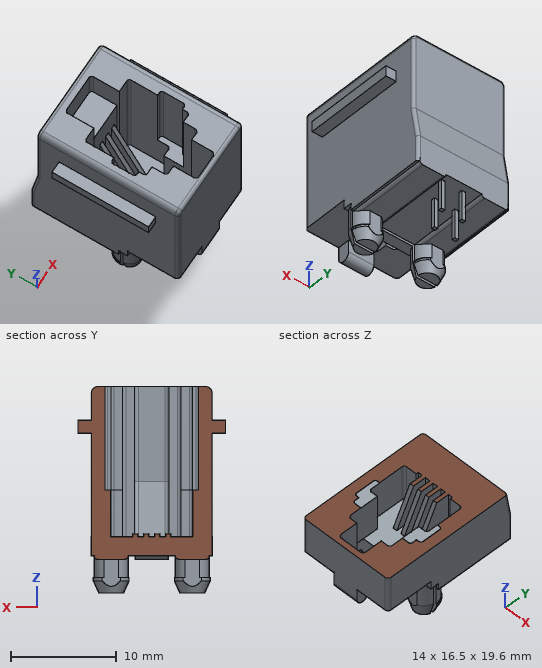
import cadquery as cq

height = 19.56
width = 11.45
depth = 16.5
upper_depth = 15.85
front_bottom = 5.35
step_bottom = 4.32
rear_bottom = 3.55
front_step = 5.71
rear_step = 6.7
bend_low = 6.6
bend_high = 10.4
front_round = 0.41
back_round = 0.35
top_side_round = 0.63
tolerance = 0.02

wing_span = 13.97
wing_front, wing_back = 2.55, 13.34
wing_bottom, wing_top = 15.12, 16.37

foot_width = 3.13
foot_depth = 1.47
underside = 3.19

post_x = 3.83
post_y = 6.63
post_radius = 1.62
barb_radius = 1.7
tip_radius = 1.17
post_front, post_back = 5.12, 8.1
front_cone_height = 1.68
barb_cone_height = 1.17
barb_top = 1.47
slot_front, slot_back = 6.35, 6.65
rail_round = rear_bottom - underside

corner_round = 0.3
neck_round = 0.35
cavity_floor = front_bottom
ledge_level = 9.78
shelf_level = 16.23
shelf_half_width = 2.27
shelf_front, shelf_back = 11.91, 14.85
plug_half_width = 3.87
plug_front, plug_back = 4.81, 11.64
ledge_back = 6.98
ear_half_width = 4.45
ear_front, ear_back = 5.61, 8.37
neck_half_width = 2.78
neck_front = 3.15
latch_half_width = 1.62
latch_front = 0.53
ramp_front = 1.8
ramp_top = 10.56

contact_width = 0.49
contact_pitch = 1.04
contact_front = 8.12
contact_top = 12.9
pin_width = 0.43
pin_thickness = 0.4
pin_pitch = 1.27
pin_rows = (12.97, 15.5)
pin_count = 4


def box(x0, x1, y0, y1, z0, z1):
    return cq.Workplane("XY").box(x1 - x0, y1 - y0, z1 - z0, centered=False).translate((x0, y0, z0))


def centred_box(half_width, y0, y1, z0, z1):
    return box(-half_width, half_width, y0, y1, z0, z1)


def side_profile(points, total_width):
    """Extrude a (Y, Z) outline symmetrically about X = 0."""
    return cq.Workplane("YZ").polyline(points).close().extrude(total_width / 2, both=True)


def spread(count, pitch):
    return [(i - (count - 1) / 2) * pitch for i in range(count)]


def housing():
    outline = [
        (0, front_bottom),
        (front_step, front_bottom),
        (front_step, step_bottom),
        (rear_step, step_bottom),
        (rear_step, rear_bottom),
        (depth, rear_bottom),
        (depth, bend_low),
        (upper_depth, bend_high),
        (upper_depth, height),
        (0, height),
    ]
    body = side_profile(outline, width)
    body = body.faces(">Z").edges("|Y").fillet(top_side_round)
    body = body.faces("<Y").edges("not <Z").fillet(front_round)
    back_corner = cq.selectors.BoxSelector(
        (-width, upper_depth - tolerance, rear_bottom + tolerance),
        (width, depth + tolerance, height + tolerance),
    )
    bends = cq.selectors.BoxSelector(
        (-tolerance, 0, 0),
        (tolerance, depth + tolerance, height - tolerance),
    )
    return body.edges(back_corner - bends).fillet(back_round)


def foot():
    radius = foot_depth / 2
    return (
        cq.Workplane("YZ")
        .moveTo(0, front_bottom)
        .lineTo(0, underside + radius)
        .threePointArc((radius, underside), (foot_depth, underside + radius))
        .lineTo(foot_depth, front_bottom)
        .close()
        .extrude(foot_width / 2, both=True)
    )


def turned(profile):
    """Revolve an (R, Z) outline about the Z axis."""
    return cq.Workplane("XZ").polyline(profile).close().revolve(360, (0, 0), (0, 1))


def post(x):
    """Snap post: a plain front half and a barbed back half, both with a flat outer face."""
    top = front_bottom
    plain = turned([(0, 0), (tip_radius, 0), (post_radius, front_cone_height), (post_radius, top), (0, top)])
    barbed = turned([
        (0, 0),
        (tip_radius, 0),
        (barb_radius, barb_cone_height),
        (barb_radius, barb_top),
        (post_radius, barb_top),
        (post_radius, top),
        (0, top),
    ])
    front_half = plain.translate((x, post_y, 0)).intersect(
        box(x - barb_radius, x + barb_radius, post_front, slot_front, 0, top))
    back_half = barbed.translate((x, post_y, 0)).intersect(
        box(x - barb_radius, x + barb_radius, slot_back, post_back, 0, top))
    return front_half.union(back_half)


def rail(x):
    top = rear_bottom + rail_round
    block = box(x - post_radius, x + post_radius, rear_step, depth, underside, top)
    return block.faces("<Z").edges("|Y").fillet(rail_round)


def bridge():
    """Cross bar joining the two posts, split by the post slot."""
    bar = centred_box(post_x, post_front, rear_step, rear_bottom, front_bottom)
    return bar.cut(centred_box(width, slot_front, slot_back, 0, step_bottom))


def rounded_pocket(half_width, y0, y1, z0, edges="|Z", radius=corner_round):
    """Open-topped pocket from z0 up, with the chosen upright edges rounded."""
    return centred_box(half_width, y0, y1, z0, height).edges(edges).fillet(radius)


def cavity():
    """Plug space; it opens below in front of the bridge, where its floor is the housing underside."""
    shelf = rounded_pocket(shelf_half_width, shelf_front, shelf_back, shelf_level, "|Z and >Y")
    shelf_mouth = centred_box(shelf_half_width, ledge_back, shelf_front, cavity_floor, height)
    plug = rounded_pocket(plug_half_width, plug_front, plug_back, ledge_level)
    ears = rounded_pocket(ear_half_width, ear_front, ear_back, ledge_level)
    well = rounded_pocket(plug_half_width, ledge_back, plug_back, cavity_floor)
    neck = rounded_pocket(
        neck_half_width, neck_front, ledge_back + corner_round, cavity_floor, "|Z and <Y", neck_round)
    latch = side_profile([
        (latch_front, height),
        (latch_front, ramp_top),
        (ramp_front, front_bottom),
        (neck_front + neck_round, front_bottom),
        (neck_front + neck_round, height),
    ], 2 * latch_half_width)
    ramp_edges = cq.selectors.BoxSelector(
        (-width, latch_front - tolerance, front_bottom + tolerance),
        (width, ramp_front, height - tolerance),
    )
    latch = latch.edges(ramp_edges).edges("not |X").edges("not |Y").fillet(neck_round)
    hollow = shelf
    for space in (shelf_mouth, plug, ears, well, neck, latch):
        hollow = hollow.union(space)
    return hollow


def contact(x):
    """Sloping contact rising from the cavity floor to the wall below the shelf."""
    half = contact_width / 2
    return (
        cq.Workplane("YZ")
        .polyline([(contact_front, cavity_floor), (shelf_front, contact_top), (shelf_front, cavity_floor)])
        .close()
        .extrude(half, both=True)
        .translate((x, 0, 0))
    )


def pin(x, y):
    shank = cq.Workplane("XY").rect(pin_width, pin_thickness).extrude(step_bottom)
    return shank.translate((x, y, 0))


result = housing()
result = result.union(centred_box(wing_span / 2, wing_front, wing_back, wing_bottom, wing_top))
result = result.union(foot())
result = result.union(bridge())
for side in (-1, 1):
    result = result.union(post(side * post_x))
    result = result.union(rail(side * post_x))
result = result.cut(cavity())
for x in spread(pin_count, contact_pitch):
    result = result.union(contact(x))
for i, x in enumerate(spread(pin_count, pin_pitch)):
    result = result.union(pin(x, pin_rows[i % 2]))